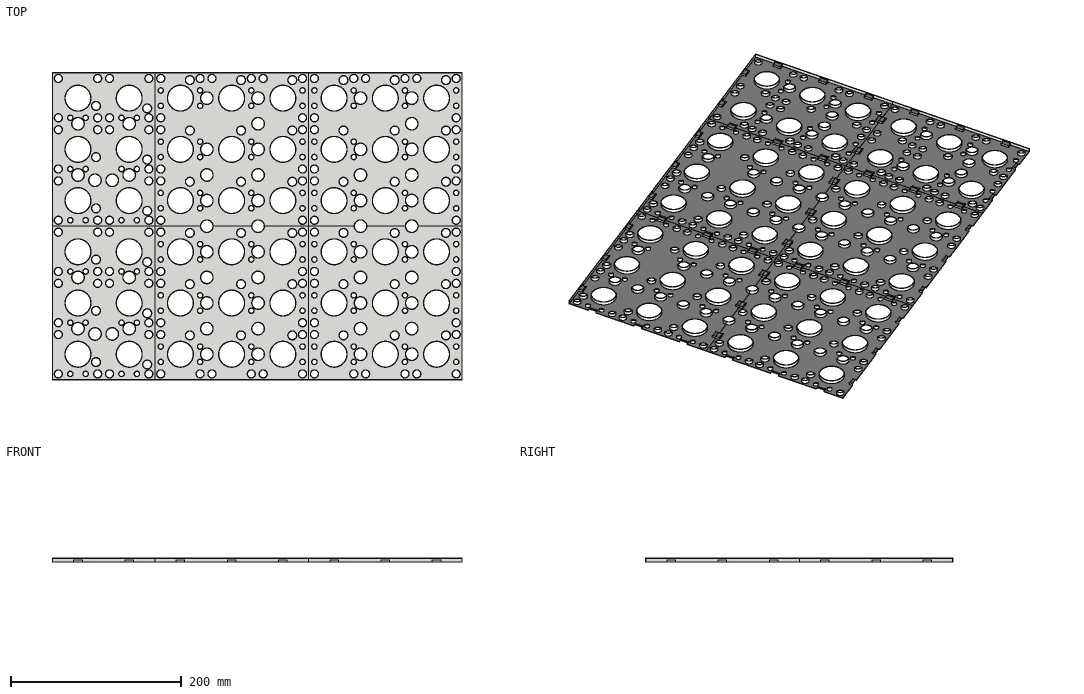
import cadquery as cq
cell = 60.0
thickness = 5.0
plate_rows = 3
plate_tiers = 2
plate_depth = plate_rows * cell
narrow_columns = 2
wide_columns = 3
narrow_width = narrow_columns * cell
wide_width = wide_columns * cell

opening_diameter = cell / 2
corner_diameter = 9.0
side_diameter = 10.0
pass_diameter = 14.5
small_diameter = cell / 10

notch_length = 10.0
notch_height = 3.0
notch_depth = 5.0

corner_wall = 2.5
edge_inset = corner_wall + corner_diameter / 2
small_half_spacing = 0.15 * cell
narrow_side_x = 21.0
narrow_side_drops = (9.0, 12.0)
wide_side_x = 11.0
wide_side_rise = 22.0
wide_side_rise_outer = 21.0
wide_pass_shift = 1.0
pair_half_spacing = 10.0
pair_drop = 6.0


def cell_centres(columns):
    """Centres of all the cells of a plate, from its lower left corner."""
    return [((i + 0.5) * cell, (j + 0.5) * cell) for i in range(columns) for j in range(plate_rows)]


def near_both_edges(index):
    """The two inset positions along one cell of a row or column."""
    return [index * cell + edge_inset, (index + 1) * cell - edge_inset]


def blank_plate(columns):
    """Flat plate with a connector notch at every cell along all four edges."""
    width = columns * cell
    plate = cq.Workplane("XY").box(width, plate_depth, thickness, centered=False)
    column_edges = [((i + 0.5) * cell, y) for i in range(columns) for y in (0, plate_depth)]
    row_edges = [(x, (j + 0.5) * cell) for j in range(plate_rows) for x in (0, width)]
    front_and_rear = (
        cq.Workplane("XY").pushPoints(column_edges).rect(notch_length, 2 * notch_depth).extrude(notch_height)
    )
    left_and_right = (
        cq.Workplane("XY").pushPoints(row_edges).rect(2 * notch_depth, notch_length).extrude(notch_height)
    )
    return plate.cut(front_and_rear).cut(left_and_right)


def cut_holes(plate, points, diameter):
    """Cut round holes through the whole thickness."""
    drills = cq.Workplane("XY").pushPoints(points).circle(diameter / 2).extrude(thickness)
    return plate.cut(drills)


def narrow_plate():
    """Plate two cells wide with four corner holes in every cell, except around the pass hole pair."""
    centres = cell_centres(narrow_columns)
    pair_node = (cell, cell)
    corners = [
        (x, y)
        for i in range(narrow_columns)
        for j in range(plate_rows)
        for x in near_both_edges(i)
        for y in near_both_edges(j)
        if max(abs(x - pair_node[0]), abs(y - pair_node[1])) > cell / 2
    ]
    small = [
        (x + side * small_half_spacing, y - cell / 2 + edge_inset)
        for x, y in centres
        for side in (-1, 1)
    ]
    side_holes = [
        ((i + 0.5) * cell + narrow_side_x, (j + 0.5) * cell - narrow_side_drops[i])
        for i in range(narrow_columns)
        for j in range(plate_rows)
    ]
    row_boundary_holes = [
        ((i + 0.5) * cell, j * cell) for i in range(narrow_columns) for j in range(1, plate_rows)
    ]
    pass_pair = [
        (pair_node[0] + side * pair_half_spacing, pair_node[1] - pair_drop) for side in (-1, 1)
    ]

    plate = blank_plate(narrow_columns)
    plate = cut_holes(plate, centres, opening_diameter)
    plate = cut_holes(plate, corners, corner_diameter)
    plate = cut_holes(plate, small, small_diameter)
    plate = cut_holes(plate, side_holes, side_diameter)
    return cut_holes(plate, row_boundary_holes + pass_pair, pass_diameter)


def wide_corner_holes(outer_y):
    """Corner holes along the left, right and outer edges; outer_y is the height of the outer row."""
    left_x = edge_inset
    right_x = wide_width - edge_inset
    columns = [(x, y) for x in (left_x, right_x) for j in range(plate_rows) for y in near_both_edges(j)]
    outer_row = [(x, outer_y) for i in range(wide_columns) for x in near_both_edges(i)]
    return columns + [point for point in outer_row if left_x < point[0] < right_x]


def wide_plate(outer_y, side_rises, nodes):
    """Plate three cells wide.

    side_rises gives the height of the side holes above the cell centre, row by row.
    nodes are the (column, row) crossings of cell boundaries that carry a pass hole.
    """
    centres = cell_centres(wide_columns)
    small_columns = [edge_inset] + [(i + 1) * cell - edge_inset for i in range(wide_columns)]
    small = [
        (x, (j + 0.5) * cell + side * small_half_spacing)
        for x in small_columns
        for j in range(plate_rows)
        for side in (-1, 1)
    ]
    side_holes = [
        ((i + 0.5) * cell + wide_side_x, (j + 0.5) * cell + side_rises[j])
        for i in range(wide_columns)
        for j in range(plate_rows)
    ]
    between_nodes = [(i, j + 0.5) for i in range(1, wide_columns) for j in range(plate_rows)]
    pass_holes = [(i * cell + wide_pass_shift, j * cell) for i, j in nodes + between_nodes]

    plate = blank_plate(wide_columns)
    plate = cut_holes(plate, centres, opening_diameter)
    plate = cut_holes(plate, wide_corner_holes(outer_y), corner_diameter)
    plate = cut_holes(plate, small, small_diameter)
    plate = cut_holes(plate, side_holes, side_diameter)
    return cut_holes(plate, pass_holes, pass_diameter)


def front_wide_plate():
    """Its rear edge, on the middle seam, carries half of each seam hole."""
    nodes = [(i, j) for i in range(1, wide_columns) for j in range(1, plate_rows + 1)]
    return wide_plate(edge_inset, [wide_side_rise] * plate_rows, nodes)


def rear_wide_plate():
    """Its front edge, on the middle seam, carries half of each seam hole; one node is left solid."""
    solid_node = (1, plate_rows - 1)
    nodes = [
        (i, j)
        for i in range(1, wide_columns)
        for j in range(plate_rows)
        if (i, j) != solid_node
    ]
    side_rises = [wide_side_rise] * (plate_rows - 1) + [wide_side_rise_outer]
    return wide_plate(plate_depth - edge_inset, side_rises, nodes)


narrow_plates = [narrow_plate().translate((0, row * plate_depth, 0)) for row in range(plate_tiers)]
wide_plate_x = [narrow_width, narrow_width + wide_width]
front_wide_plates = [front_wide_plate().translate((x, 0, 0)) for x in wide_plate_x]
rear_wide_plates = [rear_wide_plate().translate((x, plate_depth, 0)) for x in wide_plate_x]

all_plates = narrow_plates + front_wide_plates + rear_wide_plates
result = cq.Compound.makeCompound([plate.solids().val() for plate in all_plates])